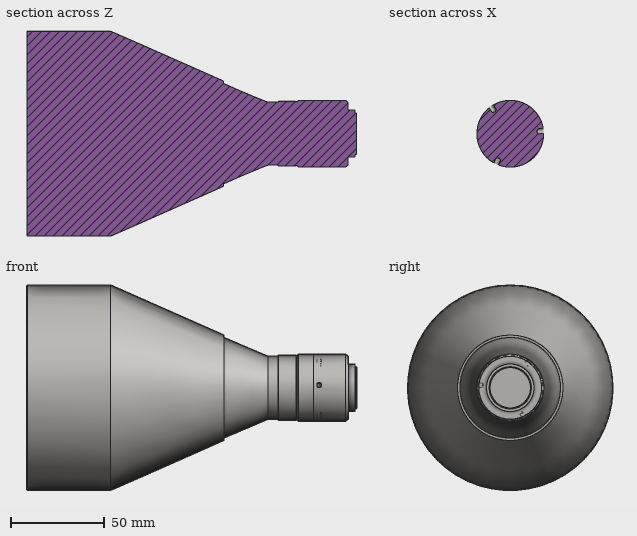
import math

import cadquery as cq

BARREL_END = 45.0
STEP_X = 105.6
CONE_END = 127.9
NECK_START = 129.1
BAND_START = 134.4
BAND_END = 144.0
GROOVE_X = 144.7
COLLAR_START = 145.4
SEAM_X = 153.4
COLLAR_END = 172.2
MOUNT_END = 175.8
LENGTH = 176.7

BARREL_R = 55.0
STEP_FRONT_R = 28.2
STEP_REAR_R = 26.9
CONE_END_R = 17.4
NECK_R = 17.0
BAND_R = 17.5
GROOVE_R = 17.1
COLLAR_R = 18.0
MOUNT_R = 12.7
TIP_R = 11.3

FRONT_CHAMFER = 0.5
BAND_CHAMFER = 0.4
COLLAR_CHAMFER_LENGTH = 1.6
COLLAR_CHAMFER_DEPTH = 1.2
TIP_CHAMFER = 0.5
SEAM_WIDTH = 0.2
SEAM_DEPTH = 0.4

SCREW_X = 156.5
SCREW_DIAMETER = 2.5
SCREW_POINT_LENGTH = 0.7
SCREW_DEPTH = 3.0
SCREW_COUNT = 3
SCREW_FIRST_ANGLE = 55.0


def lens_body():
    """Revolve the stepped half profile about the X axis."""
    outline = (
        cq.Workplane("XZ")
        .moveTo(0, 0)
        .lineTo(0, BARREL_R - FRONT_CHAMFER)
        .lineTo(FRONT_CHAMFER, BARREL_R)
        .lineTo(BARREL_END, BARREL_R)
        .lineTo(STEP_X, STEP_FRONT_R)
        .lineTo(STEP_X, STEP_REAR_R)
        .lineTo(CONE_END, CONE_END_R)
        .lineTo(NECK_START, NECK_R)
        .lineTo(BAND_START, NECK_R)
        .lineTo(BAND_START + BAND_CHAMFER, BAND_R)
        .lineTo(BAND_END, BAND_R)
        .lineTo(GROOVE_X, GROOVE_R)
        .lineTo(COLLAR_START, COLLAR_R)
        .lineTo(COLLAR_END - COLLAR_CHAMFER_LENGTH, COLLAR_R)
        .lineTo(COLLAR_END, COLLAR_R - COLLAR_CHAMFER_DEPTH)
        .lineTo(COLLAR_END, MOUNT_R)
        .lineTo(MOUNT_END, MOUNT_R)
        .lineTo(MOUNT_END, TIP_R)
        .lineTo(LENGTH - TIP_CHAMFER, TIP_R)
        .lineTo(LENGTH, TIP_R - TIP_CHAMFER)
        .lineTo(LENGTH, 0)
        .close()
    )
    return outline.revolve(360, (0, 0, 0), (1, 0, 0))


def seam_groove():
    """Hairline ring that parts the two collar sections."""
    return (
        cq.Workplane("YZ", origin=(SEAM_X, 0, 0))
        .circle(COLLAR_R)
        .circle(COLLAR_R - SEAM_DEPTH)
        .extrude(SEAM_WIDTH)
    )


def screw_hole(angle):
    """Blind radial hole with a conical bottom, entering the collar at the given angle."""
    outward = cq.Vector(0, math.cos(math.radians(angle)), math.sin(math.radians(angle)))
    entry = cq.Vector(SCREW_X, 0, 0) + outward * COLLAR_R
    bottom = entry - outward * SCREW_DEPTH
    radius = SCREW_DIAMETER / 2
    bore = cq.Solid.makeCylinder(radius, 2 * SCREW_DEPTH, bottom, outward)
    point = cq.Solid.makeCone(radius, 0, SCREW_POINT_LENGTH, bottom, -outward)
    return cq.Workplane(bore).union(cq.Workplane(point))


result = lens_body().cut(seam_groove())
for index in range(SCREW_COUNT):
    result = result.cut(screw_hole(SCREW_FIRST_ANGLE + index * 360 / SCREW_COUNT))